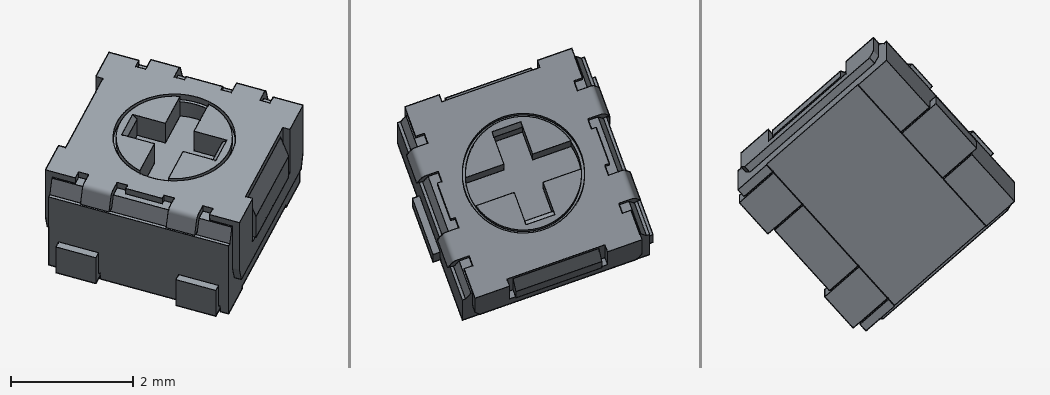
import math

import cadquery as cq

HEIGHT = 2.0
BODY_X = 3.15
BODY_Y = 3.25
SHEET = 0.125

BODY_TOP = HEIGHT - SHEET
LEDGE_Z = 1.58
SHOULDER_Y = 1.475
SLOPE_ANGLE = math.radians(18)
UNDERCUT_Y = 2.0
UNDERCUT_DEPTH = 0.055

COVER_X = BODY_X + 2 * SHEET
COVER_Y = 2.9
COVER_BOTTOM = 0.6
TAPER_Z = 0.9
TAPERED_Y = 2.73
EDGE_NOTCH_X = 1.175
EDGE_NOTCH_Y = 1.3
TONGUE_X = 0.64
TONGUE_Y = 1.38

CLIP_WIDTH = 0.5
CLIP_X = 0.75
CLIP_TIP_Z = 1.665
CLIP_BEND_RADIUS = 0.1

WINDOW_Y = 1.7
WINDOW_BOTTOM = 1.0
BULGE_X = 1.718
BULGE_Y = 1.49
BULGE_KNEE_Z = 1.485

OPENING_RADIUS = 1.0
ROTOR_RADIUS = 0.95
SLOT_WIDTH = 0.5
SLOT_DEPTH = 0.455
SLOT_TOP_X = 0.825
SLOT_FLOOR_X = 0.745
SLOT_CHAMFER_DEPTH = SLOT_TOP_X - SLOT_FLOOR_X

TERMINAL_HEIGHT = 0.6
TERMINAL_CLEARANCE = 0.025
OUTER_TERMINAL_WIDTH = 0.7
OUTER_TERMINAL_X = 1.05
CENTRE_TERMINAL_WIDTH = 1.0


def box(x_min, x_max, y_min, y_max, z_min, z_max):
    size = (x_max - x_min, y_max - y_min, z_max - z_min)
    return cq.Workplane("XY").box(*size, centered=False).translate((x_min, y_min, z_min))


def centred_box(x_size, y_size, z_min, z_max):
    return box(-x_size / 2, x_size / 2, -y_size / 2, y_size / 2, z_min, z_max)


def both_sides(shape, mirror_plane):
    return shape.union(shape.mirror(mirror_plane))


def make_body():
    """Block with sloped upper faces, narrow ledges and an undercut between its feet."""
    slope_foot_y = SHOULDER_Y + (BODY_TOP - LEDGE_Z) * math.tan(SLOPE_ANGLE)
    half_profile = [
        (0, UNDERCUT_DEPTH),
        (UNDERCUT_Y / 2, UNDERCUT_DEPTH),
        (UNDERCUT_Y / 2, 0),
        (BODY_Y / 2, 0),
        (BODY_Y / 2, LEDGE_Z),
        (slope_foot_y, LEDGE_Z),
        (SHOULDER_Y, BODY_TOP),
        (0, BODY_TOP),
    ]
    half = cq.Workplane("YZ").polyline(half_profile).close().extrude(BODY_X / 2, both=True)
    return both_sides(half, "XZ")


def make_cover_plate():
    """Top plate with recessed long edges; a shallow tongue stands in the middle of each recess."""
    plate = centred_box(COVER_X, COVER_Y, BODY_TOP, HEIGHT)
    recess = box(-EDGE_NOTCH_X, EDGE_NOTCH_X, EDGE_NOTCH_Y, COVER_Y / 2, BODY_TOP, HEIGHT)
    tongues = centred_box(TONGUE_X, 2 * TONGUE_Y, BODY_TOP, HEIGHT)
    return plate.cut(both_sides(recess, "XZ")).union(tongues)


def make_side_walls():
    """Cover walls on the two X faces, tapered towards their lower edge."""
    wall_profile = [
        (-COVER_Y / 2, HEIGHT),
        (-COVER_Y / 2, TAPER_Z),
        (-TAPERED_Y / 2, COVER_BOTTOM),
        (TAPERED_Y / 2, COVER_BOTTOM),
        (COVER_Y / 2, TAPER_Z),
        (COVER_Y / 2, HEIGHT),
    ]
    wall = cq.Workplane("YZ", origin=(BODY_X / 2, 0, 0)).polyline(wall_profile).close().extrude(SHEET)
    return both_sides(wall, "YZ")


def make_windows():
    window = box(BODY_X / 2, COVER_X / 2, -WINDOW_Y / 2, WINDOW_Y / 2, WINDOW_BOTTOM, HEIGHT)
    return both_sides(window, "YZ")


def make_bulges():
    """Springs that slope outwards from the top of the body, then drop straight to the sill."""
    bulge_profile = [
        (BODY_X / 2, WINDOW_BOTTOM),
        (BULGE_X, WINDOW_BOTTOM),
        (BULGE_X, BULGE_KNEE_Z),
        (BODY_X / 2, BODY_TOP),
    ]
    bulge = cq.Workplane("XZ").polyline(bulge_profile).close().extrude(BULGE_Y / 2, both=True)
    return both_sides(bulge, "YZ")


def make_clips():
    """Four clips folded over the shoulders of the body and lying on its sloped faces."""
    lean = math.tan(SLOPE_ANGLE)
    corner_y = SHOULDER_Y + SHEET / math.cos(SLOPE_ANGLE) - SHEET * lean
    bend_angle = math.pi / 2 - SLOPE_ANGLE
    bend_start_y = corner_y - CLIP_BEND_RADIUS * math.tan(bend_angle / 2)

    def bend_point(angle):
        y = bend_start_y + CLIP_BEND_RADIUS * math.sin(angle)
        z = HEIGHT - CLIP_BEND_RADIUS * (1 - math.cos(angle))
        return (y, z)

    tip_y = corner_y + (HEIGHT - CLIP_TIP_Z) * lean
    inner_tip = (tip_y - SHEET * math.cos(SLOPE_ANGLE), CLIP_TIP_Z - SHEET * math.sin(SLOPE_ANGLE))
    clip = (
        cq.Workplane("YZ", origin=(CLIP_X, 0, 0))
        .moveTo(EDGE_NOTCH_Y, BODY_TOP)
        .lineTo(EDGE_NOTCH_Y, HEIGHT)
        .lineTo(bend_start_y, HEIGHT)
        .threePointArc(bend_point(bend_angle / 2), bend_point(bend_angle))
        .lineTo(tip_y, CLIP_TIP_Z)
        .lineTo(*inner_tip)
        .lineTo(SHOULDER_Y, BODY_TOP)
        .close()
        .extrude(CLIP_WIDTH / 2, both=True)
    )
    return both_sides(both_sides(clip, "YZ"), "XZ")


def make_rotor_gap():
    """Ring-shaped gap between the rotor and the round opening in the cover."""
    ring = cq.Workplane("XY", origin=(0, 0, BODY_TOP)).circle(OPENING_RADIUS).circle(ROTOR_RADIUS)
    return ring.extrude(SHEET)


def make_driver_cross():
    """Cross recess: the Y slot spans the whole rotor, the X slot has chamfered ends."""
    floor_z = HEIGHT - SLOT_DEPTH
    chamfer_z = HEIGHT - SLOT_CHAMFER_DEPTH
    rotor = cq.Workplane("XY", origin=(0, 0, floor_z)).circle(ROTOR_RADIUS).extrude(SLOT_DEPTH)
    y_slot = rotor.intersect(centred_box(SLOT_WIDTH, 2 * OPENING_RADIUS, floor_z, HEIGHT))
    x_slot_profile = [
        (-SLOT_FLOOR_X, floor_z),
        (SLOT_FLOOR_X, floor_z),
        (SLOT_FLOOR_X, chamfer_z),
        (SLOT_TOP_X, HEIGHT),
        (-SLOT_TOP_X, HEIGHT),
        (-SLOT_FLOOR_X, chamfer_z),
    ]
    x_slot = cq.Workplane("XZ").polyline(x_slot_profile).close().extrude(SLOT_WIDTH / 2, both=True)
    return y_slot.union(x_slot)


def add_terminal(part, x, side, width):
    """L-shaped terminal: upright plate on the Y face and a foot set in a slightly wider groove."""
    inner_y = UNDERCUT_Y / 2
    face_y = BODY_Y / 2
    half_groove = width / 2 + TERMINAL_CLEARANCE
    groove = box(-half_groove, half_groove, inner_y, face_y, 0, SHEET)
    foot = box(-width / 2, width / 2, inner_y, face_y, 0, SHEET)
    upright = box(-width / 2, width / 2, face_y, face_y + SHEET, 0, TERMINAL_HEIGHT)
    terminal = foot.union(upright)
    if side < 0:
        groove = groove.mirror("XZ")
        terminal = terminal.mirror("XZ")
    return part.cut(groove.translate((x, 0, 0))).union(terminal.translate((x, 0, 0)))


cover = make_cover_plate().union(make_side_walls()).cut(make_windows())
cover = cover.union(make_bulges()).union(make_clips())
part = make_body().union(cover)
part = part.cut(make_rotor_gap()).cut(make_driver_cross())

for terminal_x in (-OUTER_TERMINAL_X, OUTER_TERMINAL_X):
    part = add_terminal(part, terminal_x, -1, OUTER_TERMINAL_WIDTH)
part = add_terminal(part, 0, 1, CENTRE_TERMINAL_WIDTH)

result = part